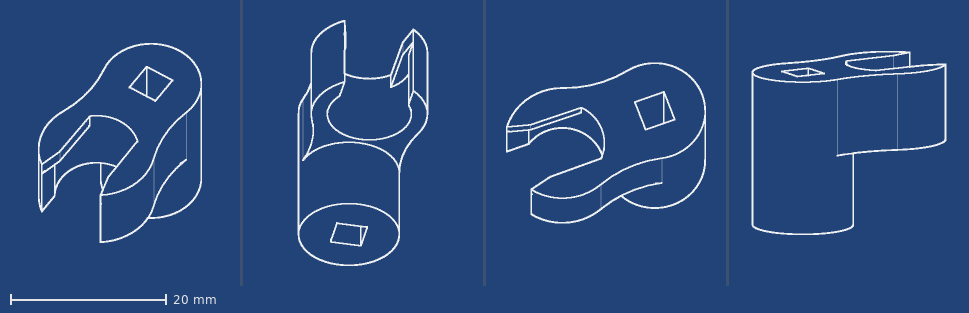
import cadquery as cq
import math

total_height = 20.0
head_height = total_height / 2
boss_diameter = 13.0
drive_square = 4.0
jaw_diameter = 15.0
bore_diameter = 10.82
neck_radius = 15.0
total_length = 25.15
slot_width = 9.05
lip_height = 2.01
lip_inner_half_gap = 3.67
lip_outer_half_gap = 3.75
lip_bend_depth = 3.02

boss_radius = boss_diameter / 2
jaw_radius = jaw_diameter / 2
bore_radius = bore_diameter / 2
slot_half = slot_width / 2
head_bottom = total_height - head_height
tip_y = boss_radius - total_length
jaw_y = tip_y + math.sqrt(jaw_radius**2 - slot_half**2)
lip_bend_y = jaw_y - lip_bend_depth


def neck_points():
    """Return the right neck arc as its boss tangent, middle and jaw tangent points."""
    boss_reach = boss_radius + neck_radius
    jaw_reach = jaw_radius + neck_radius
    center_y = (boss_reach**2 - jaw_reach**2 + jaw_y**2) / (2 * jaw_y)
    center_x = math.sqrt(boss_reach**2 - center_y**2)
    boss_share = boss_radius / boss_reach
    jaw_share = jaw_radius / jaw_reach
    boss_tangent = (center_x * boss_share, center_y * boss_share)
    middle = (center_x - neck_radius, center_y)
    jaw_tangent = (center_x * jaw_share, jaw_y + (center_y - jaw_y) * jaw_share)
    return boss_tangent, middle, jaw_tangent


def mirrored(point):
    return (-point[0], point[1])


def make_head():
    """Waisted plate with a full round at each end, blending tangentially into the neck."""
    boss_tangent, middle, jaw_tangent = neck_points()
    return (
        cq.Workplane("XY", origin=(0, 0, head_bottom))
        .moveTo(*boss_tangent)
        .threePointArc(middle, jaw_tangent)
        .threePointArc((0, jaw_y - jaw_radius), mirrored(jaw_tangent))
        .threePointArc(mirrored(middle), mirrored(boss_tangent))
        .threePointArc((0, boss_radius), boss_tangent)
        .close()
        .extrude(head_height)
    )


def make_jaw_opening():
    """Bore and straight slot through the head, open towards -Y."""
    base = cq.Workplane("XY", origin=(0, jaw_y, head_bottom))
    bore = base.circle(bore_radius).extrude(head_height)
    slot = base.center(0, -jaw_radius / 2).rect(slot_width, jaw_radius).extrude(head_height)
    return bore.union(slot)


def make_lip(side):
    """Thin lip at the top of one jaw, flaring out to the jaw tip; side is -1 or 1."""
    bore_edge_y = jaw_y + math.sqrt(bore_radius**2 - lip_inner_half_gap**2)
    bore_wall_y = jaw_y + math.sqrt(bore_radius**2 - slot_half**2)
    return (
        cq.Workplane("XY", origin=(0, 0, total_height - lip_height))
        .moveTo(side * lip_inner_half_gap, bore_edge_y)
        .lineTo(side * lip_outer_half_gap, lip_bend_y)
        .lineTo(side * slot_half, tip_y)
        .lineTo(side * slot_half, 2 * jaw_y - bore_wall_y)
        .threePointArc((side * bore_radius, jaw_y), (side * lip_inner_half_gap, bore_edge_y))
        .close()
        .extrude(lip_height)
    )


boss = cq.Workplane("XY").circle(boss_radius).extrude(total_height)
drive_hole = cq.Workplane("XY").rect(drive_square, drive_square).extrude(total_height)

result = boss.union(make_head()).cut(make_jaw_opening())
for side in (-1, 1):
    result = result.union(make_lip(side))
result = result.cut(drive_hole)